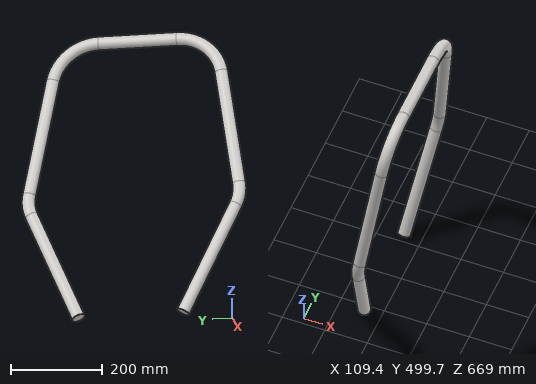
import cadquery as cq
import math

overall_height = 669.0
bar_diameter = 30.0
tilt_angle = 7.0

end_half_width = 116.5
middle_half_width = 238.0
top_half_width = 173.5
middle_height = 274.0

middle_bend_radius = 87.0
top_bend_radius = 102.5

bar_radius = bar_diameter / 2
tilt = math.radians(tilt_angle)

end_run_length = math.hypot(middle_half_width - end_half_width, middle_height)
end_run_rise = middle_height / end_run_length * math.cos(tilt)
end_disc_drop = bar_radius * math.sqrt(1 - end_run_rise**2)
top_height = (overall_height - bar_radius - end_disc_drop) / math.cos(tilt)


def bend_points(before, corner, after, radius):
    """Return the start, middle and end of the arc that rounds a centreline corner."""
    to_before = (before - corner).normalized()
    to_after = (after - corner).normalized()
    half_angle = to_before.getAngle(to_after) / 2
    tangent_length = radius / math.tan(half_angle)
    apex_distance = radius / math.sin(half_angle) - radius
    inward = (to_before + to_after).normalized()
    return (
        corner + to_before * tangent_length,
        corner + inward * apex_distance,
        corner + to_after * tangent_length,
    )


bar_plane = cq.Plane(
    origin=(0, 0, 0),
    xDir=(0, 1, 0),
    normal=(math.cos(tilt), 0, -math.sin(tilt)),
)

half_outline = [
    (end_half_width, 0),
    (middle_half_width, middle_height),
    (top_half_width, top_height),
]
corners = [cq.Vector(-width, height) for width, height in half_outline]
corners += [cq.Vector(width, height) for width, height in reversed(half_outline)]
bend_radii = [middle_bend_radius, top_bend_radius, top_bend_radius, middle_bend_radius]

centreline = cq.Workplane(bar_plane).moveTo(corners[0].x, corners[0].y)
for before, corner, after, radius in zip(corners, corners[1:], corners[2:], bend_radii):
    start, apex, end = bend_points(before, corner, after, radius)
    centreline = centreline.lineTo(start.x, start.y)
    centreline = centreline.threePointArc((apex.x, apex.y), (end.x, end.y))
centreline = centreline.lineTo(corners[-1].x, corners[-1].y)

end_centre = bar_plane.toWorldCoords(corners[0].toTuple())
first_bend = bar_plane.toWorldCoords(corners[1].toTuple())
end_plane = cq.Plane(origin=end_centre, normal=first_bend - end_centre)
result = cq.Workplane(end_plane).circle(bar_radius).sweep(centreline)